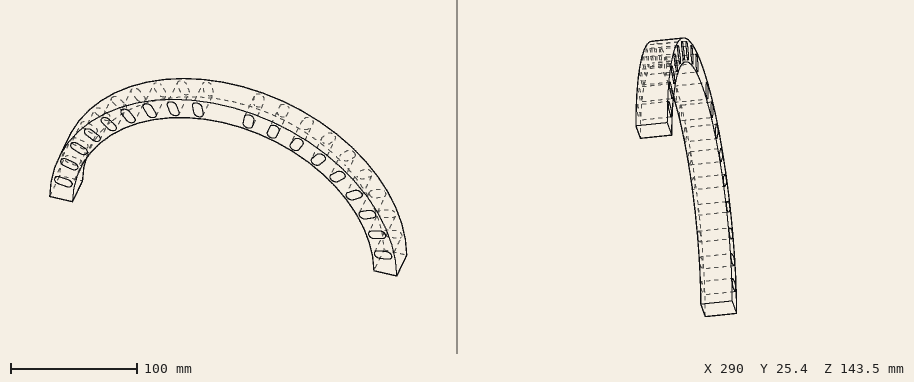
import cadquery as cq

OUTER_RADIUS = 145.0
INNER_RADIUS = 125.85
DEPTH = 25.4
FOOT_HEIGHT = 1.5

OUTER_WALL = 2.5
INNER_WALL = 2.0
SLOT_WIDTH = 8.0
SLOTS_PER_SIDE = 9

SLOT_OUTER_END = OUTER_RADIUS - OUTER_WALL
SLOT_INNER_END = INNER_RADIUS + INNER_WALL
SLOT_LENGTH = SLOT_OUTER_END - SLOT_INNER_END
SLOT_CENTRE_RADIUS = (SLOT_OUTER_END + SLOT_INNER_END) / 2
SLOT_PITCH = 90.0 / (SLOTS_PER_SIDE + 1)


def make_arch():
    """Ring centred on Y = 0, keeping only what lies above the feet."""
    ring = (
        cq.Workplane("XZ")
        .circle(OUTER_RADIUS)
        .circle(INNER_RADIUS)
        .extrude(DEPTH / 2, both=True)
    )
    space_above_feet = (
        cq.Workplane("XY", origin=(0, 0, FOOT_HEIGHT))
        .rect(2 * OUTER_RADIUS, DEPTH)
        .extrude(OUTER_RADIUS)
    )
    return ring.intersect(space_above_feet)


def make_slot(angle_from_crown):
    """Radial slot cutter, turned about the ring axis away from the crown."""
    return (
        cq.Workplane("XZ")
        .center(0, SLOT_CENTRE_RADIUS)
        .slot2D(SLOT_LENGTH, SLOT_WIDTH, 90)
        .extrude(DEPTH, both=True)
        .rotate((0, 0, 0), (0, 1, 0), angle_from_crown)
    )


result = make_arch()
for step in range(1, SLOTS_PER_SIDE + 1):
    for side in (-1, 1):
        result = result.cut(make_slot(side * step * SLOT_PITCH))